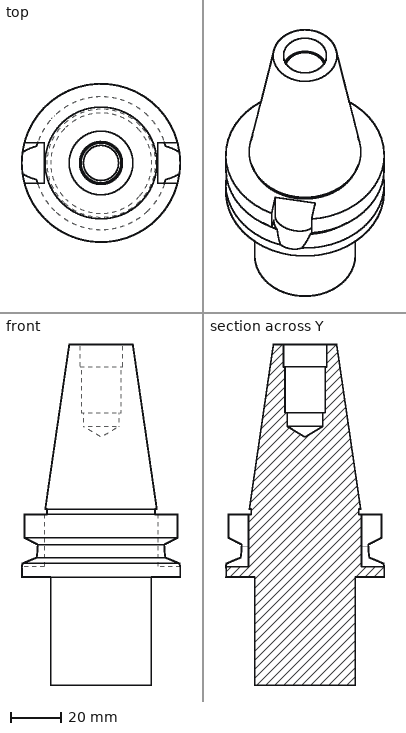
import cadquery as cq
import math

total_height = 135.4
flange_bottom = 43.0
lower_rim_top = 48.5
groove_bottom = 50.8
groove_top = 55.9
upper_rim_bottom = 58.6
flange_top = 68.0
taper_bottom = 70.0

nose_diameter = 40.1
flange_diameter = 63.0
groove_diameter = 53.0
neck_diameter = 43.0
taper_diameter = 44.4
taper_ratio = 7 / 24
tip_diameter = taper_diameter - taper_ratio * (total_height - taper_bottom)

slot_width = 16.1
slot_bottom = 47.3
slot_floor_spacing = 45.0

counterbore_diameter = 17.0
counterbore_depth = 9.0
thread_diameter = 15.8
thread_depth = 27.1
bore_diameter = 14.0
bore_depth = 32.5
drill_point_angle = 118.0


def make_body():
    """Revolve the nose, grooved flange, neck and taper as one profile."""
    nose_radius = nose_diameter / 2
    flange_radius = flange_diameter / 2
    groove_radius = groove_diameter / 2
    neck_radius = neck_diameter / 2
    outline = [
        (0, 0),
        (nose_radius, 0),
        (nose_radius, flange_bottom),
        (flange_radius, flange_bottom),
        (flange_radius, lower_rim_top),
        (groove_radius, groove_bottom),
        (groove_radius, groove_top),
        (flange_radius, upper_rim_bottom),
        (flange_radius, flange_top),
        (neck_radius, flange_top),
        (neck_radius, taper_bottom),
        (taper_diameter / 2, taper_bottom),
        (tip_diameter / 2, total_height),
        (0, total_height),
    ]
    return cq.Workplane("XZ").polyline(outline).close().revolve(360, (0, 0), (0, 1))


def make_drive_slot(side):
    """Round-bottomed slot, open at the top; side is +1 or -1 along X."""
    half_width = slot_width / 2
    arc_center = slot_bottom + half_width
    return (
        cq.Workplane("YZ", origin=(side * slot_floor_spacing / 2, 0, 0))
        .moveTo(-half_width, flange_top)
        .lineTo(-half_width, arc_center)
        .threePointArc((0, slot_bottom), (half_width, arc_center))
        .lineTo(half_width, flange_top)
        .close()
        .extrude(side * flange_diameter / 2)
    )


def make_bore():
    """Counterbore, plain thread hole, bore and drill point, revolved about Z."""
    bore_radius = bore_diameter / 2
    thread_radius = thread_diameter / 2
    counterbore_radius = counterbore_diameter / 2
    counterbore_floor = total_height - counterbore_depth
    thread_bottom = total_height - thread_depth
    bore_bottom = total_height - bore_depth
    drill_point = bore_bottom - bore_radius / math.tan(math.radians(drill_point_angle / 2))
    outline = [
        (0, drill_point),
        (bore_radius, bore_bottom),
        (bore_radius, thread_bottom),
        (thread_radius, thread_bottom),
        (thread_radius, counterbore_floor),
        (counterbore_radius, counterbore_floor),
        (counterbore_radius, total_height),
        (0, total_height),
    ]
    return cq.Workplane("XZ").polyline(outline).close().revolve(360, (0, 0), (0, 1))


result = make_body().cut(make_bore())
for slot_side in (-1, 1):
    result = result.cut(make_drive_slot(slot_side))